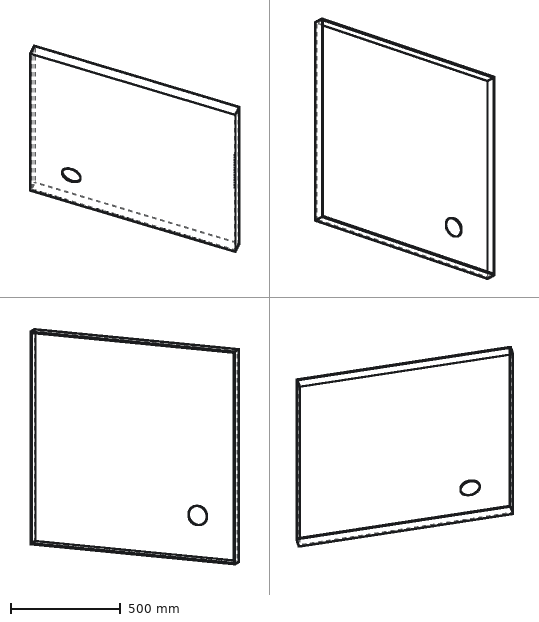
import cadquery as cq

side = 1000.0
depth = 50.0
wall = 6.0

hole_diameter = 90.0
hole_inset = 200.0

tray = cq.Workplane("XY").box(side, depth, side).faces(">Y").shell(-wall)

hole_offset = hole_inset - side / 2
result = (
    tray.faces("<Y")
    .workplane(origin=(0, 0, 0))
    .center(hole_offset, hole_offset)
    .hole(hole_diameter)
)